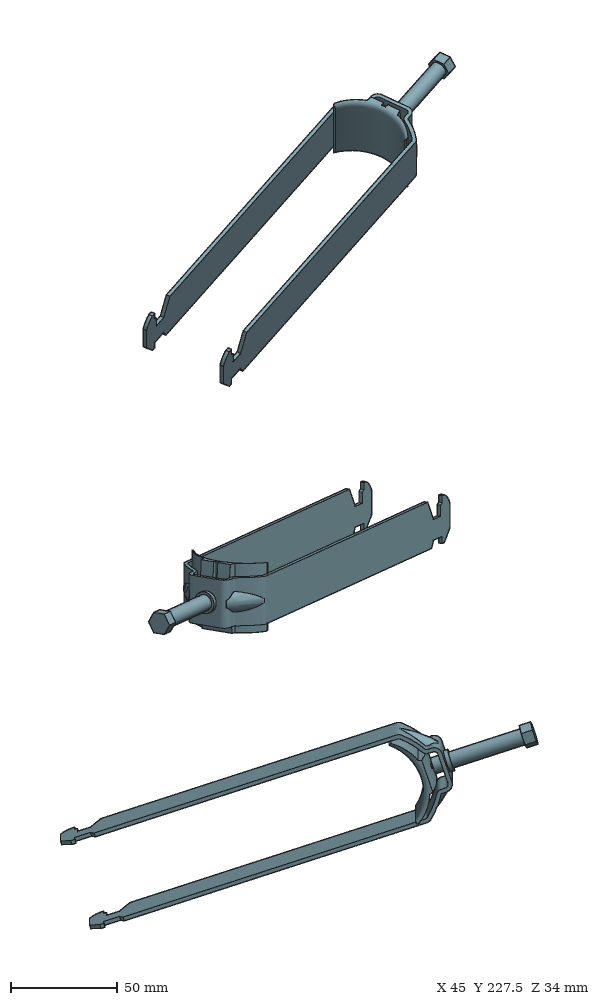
import cadquery as cq
import math


strap_width = 23.5
strap_thickness = 2.0
leg_outer_x = 22.5
hook_end_y = -184.2
crown_outer_x = 11.2
crown_bend_radius = 3.8
kink_y = -6.6
kink_radius = 1.0
shoulder_y = -16.3
shoulder_radius = 3.5
shoulder_bulge = 0.7

notch_depth_y = 7.1
hook_nose_y = 5.1
upper_notch_start_y = -164.0
lower_notch_start_y = -167.5
notch_floor_start_y = -169.3
upper_notch_floor_z = 2.0
lower_notch_floor_z = -8.2
hook_step_y = 1.4
hook_step_bottom_z = 7.4
hook_step_top_z = 8.3
hook_upper_corner_z = 6.3
hook_lower_corner_z = -5.8
hook_round_bulge = 0.7

dimple_top = (-10.4, -0.9)
dimple_bottom = (-22.2, -15.9)
dimple_rise = 0.8
dimple_axis_depth = 4.8

bolt_diameter = 8.0
bolt_top_y = 43.3
bolt_end_y = -6.9
head_height = 5.6
head_across_flats = 10.0
pin_diameter = 2.2
pin_end_y = -10.2

collar_diameter = 10.6
collar_height = 2.1

saddle_length = 34.0
saddle_offset_z = 0.3
saddle_half_width = leg_outer_x - strap_thickness
saddle_inner_radius = 25.0
saddle_outer_radius = 24.5
saddle_inner_crown_y = -12.9
saddle_outer_crown_y = -9.8
saddle_end_y = -22.0
lip_radius = 2.7
boss_top_half_width = 7.9
boss_foot_half_width = 8.7
boss_foot_depth = 2.0
boss_foot_y = saddle_outer_crown_y - boss_foot_depth
boss_peak = (-7.6, 3.0)
boss_upper_end_y = -8.4
boss_lower_end_y = -9.7


def bulged_middle(start, end, bulge):
    """Middle point of an arc that bows by `bulge` to the right of the way from start to end."""
    dx = end[0] - start[0]
    dy = end[1] - start[1]
    chord = math.hypot(dx, dy)
    middle_x = (start[0] + end[0]) / 2 + bulge * dy / chord
    middle_y = (start[1] + end[1]) / 2 - bulge * dx / chord
    return (middle_x, middle_y)


def cylinder_along_y(diameter, start_y, end_y):
    return (
        cq.Workplane("XZ", origin=(0, start_y, 0))
        .circle(diameter / 2)
        .extrude(start_y - end_y)
    )


def strap_envelope():
    """Solid block bounded by the strap's outer faces, closed two thicknesses past the hooks."""
    closed_end_y = hook_end_y - 2 * strap_thickness
    kink = (crown_outer_x, kink_y)
    shoulder = (leg_outer_x, shoulder_y)
    bow_right = bulged_middle(kink, shoulder, -shoulder_bulge)
    block = (
        cq.Workplane("XY", origin=(0, 0, -strap_width / 2))
        .moveTo(-crown_outer_x, 0)
        .lineTo(crown_outer_x, 0)
        .lineTo(*kink)
        .threePointArc(bow_right, shoulder)
        .lineTo(leg_outer_x, closed_end_y)
        .lineTo(-leg_outer_x, closed_end_y)
        .lineTo(-leg_outer_x, shoulder_y)
        .threePointArc((-bow_right[0], bow_right[1]), (-crown_outer_x, kink_y))
        .close()
        .extrude(strap_width)
    )
    bends = (
        (crown_outer_x, 0, crown_bend_radius),
        (crown_outer_x, kink_y, kink_radius),
        (leg_outer_x, shoulder_y, shoulder_radius),
    )
    for x, y, radius in bends:
        for side in (-1, 1):
            corner = cq.selectors.NearestToPointSelector((side * x, y, 0))
            block = block.edges("|Z").edges(corner).fillet(radius)
    return block


def strap_side_outline():
    """Hooked leg outline, extruded across both legs."""
    half = strap_width / 2
    notch_end_y = hook_end_y + notch_depth_y
    nose_y = hook_end_y + hook_nose_y
    hook_top = (nose_y, half)
    hook_corner = (hook_end_y, hook_upper_corner_z)
    return (
        cq.Workplane("YZ", origin=(-leg_outer_x, 0, 0))
        .moveTo(0, half)
        .lineTo(upper_notch_start_y, half)
        .lineTo(notch_floor_start_y, upper_notch_floor_z)
        .lineTo(notch_end_y + hook_step_y, upper_notch_floor_z)
        .lineTo(notch_end_y + hook_step_y, hook_step_bottom_z)
        .lineTo(notch_end_y, hook_step_top_z)
        .lineTo(notch_end_y, half)
        .lineTo(*hook_top)
        .threePointArc(bulged_middle(hook_top, hook_corner, hook_round_bulge), hook_corner)
        .lineTo(hook_end_y, hook_lower_corner_z)
        .lineTo(nose_y, -half)
        .lineTo(notch_end_y, -half)
        .lineTo(notch_end_y, lower_notch_floor_z)
        .lineTo(notch_floor_start_y, lower_notch_floor_z)
        .lineTo(lower_notch_start_y, -half)
        .lineTo(0, -half)
        .close()
        .extrude(2 * leg_outer_x)
    )


def dimple():
    """Barrel about a slanted axis under the -X kink; its ridge bows from crown to shoulder."""
    ridge = bulged_middle(dimple_top, dimple_bottom, dimple_rise)
    axis_top = bulged_middle(dimple_top, dimple_bottom, -dimple_axis_depth)
    shift_x = axis_top[0] - (dimple_top[0] + dimple_bottom[0]) / 2
    shift_y = axis_top[1] - (dimple_top[1] + dimple_bottom[1]) / 2
    axis_start = (dimple_top[0] + shift_x, dimple_top[1] + shift_y)
    axis_end = (dimple_bottom[0] + shift_x, dimple_bottom[1] + shift_y)
    return (
        cq.Workplane("XY")
        .moveTo(*axis_start)
        .lineTo(*dimple_top)
        .threePointArc(ridge, dimple_bottom)
        .lineTo(*axis_end)
        .close()
        .revolve(360, axis_start, axis_end)
    )


def make_strap():
    envelope = strap_envelope()
    inside = (
        cq.Workplane("XY", origin=(0, 0, -strap_width / 2))
        .add(envelope.faces("<Z").wires().vals())
        .toPending()
        .offset2D(-strap_thickness)
        .extrude(strap_width, combine=False)
    )
    strap = envelope.cut(inside).intersect(strap_side_outline())
    left_dimple = dimple().cut(envelope)
    strap = strap.union(left_dimple).union(left_dimple.mirror("YZ"))
    return strap.cut(cylinder_along_y(bolt_diameter, strap_thickness, -2 * strap_thickness))


def make_bolt():
    head_bottom_y = bolt_top_y - head_height
    head = (
        cq.Workplane("XZ", origin=(0, bolt_top_y, 0))
        .polygon(6, head_across_flats / math.cos(math.pi / 6))
        .extrude(head_height)
    )
    shank = cylinder_along_y(bolt_diameter, head_bottom_y, bolt_end_y)
    pin = cylinder_along_y(pin_diameter, bolt_end_y, pin_end_y)
    return head.union(shank).union(pin)


def make_collar():
    ring = cylinder_along_y(collar_diameter, collar_height, 0)
    return ring.cut(cylinder_along_y(bolt_diameter, collar_height, 0))


def saddle_arch():
    """Arched plate, thickest at its crown, before its inside is hollowed."""
    outer_centre_y = saddle_outer_crown_y - saddle_outer_radius
    outer_end_y = outer_centre_y + math.sqrt(saddle_outer_radius**2 - saddle_half_width**2)
    return (
        cq.Workplane("XY", origin=(0, 0, -saddle_length / 2))
        .moveTo(-saddle_half_width, saddle_end_y)
        .lineTo(-saddle_half_width, outer_end_y)
        .threePointArc((0, saddle_outer_crown_y), (saddle_half_width, outer_end_y))
        .lineTo(saddle_half_width, saddle_end_y)
        .close()
        .extrude(saddle_length)
    )


def saddle_boss():
    """Tapered block on the crown whose bearing face is curved along Z."""
    half = saddle_length / 2
    sides = (
        cq.Workplane("XY", origin=(0, 0, -half))
        .moveTo(-boss_foot_half_width, boss_foot_y)
        .lineTo(-boss_top_half_width, boss_peak[0])
        .lineTo(boss_top_half_width, boss_peak[0])
        .lineTo(boss_foot_half_width, boss_foot_y)
        .close()
        .extrude(saddle_length)
    )
    bearing = (
        cq.Workplane("YZ", origin=(-boss_foot_half_width, 0, 0))
        .moveTo(boss_foot_y, half)
        .lineTo(boss_upper_end_y, half)
        .threePointArc(boss_peak, (boss_lower_end_y, -half))
        .lineTo(boss_foot_y, -half)
        .close()
        .extrude(2 * boss_foot_half_width)
    )
    return sides.intersect(bearing)


def saddle_hollow():
    """Round hollow about Z that flares outward with a rounded lip at both ends."""
    half = saddle_length / 2
    flat_half = half - lip_radius
    lip_offset = lip_radius * (1 - math.cos(math.pi / 4))
    lip_middle_r = saddle_inner_radius + lip_offset
    lip_middle_z = flat_half + lip_radius * math.sin(math.pi / 4)
    flared_radius = saddle_inner_radius + lip_radius
    return (
        cq.Workplane("XZ")
        .moveTo(0, -half)
        .lineTo(flared_radius, -half)
        .threePointArc((lip_middle_r, -lip_middle_z), (saddle_inner_radius, -flat_half))
        .lineTo(saddle_inner_radius, flat_half)
        .threePointArc((lip_middle_r, lip_middle_z), (flared_radius, half))
        .lineTo(0, half)
        .close()
        .revolve(360, (0, 0), (0, 1))
        .translate((0, saddle_inner_crown_y - saddle_inner_radius, 0))
    )


def pin_slot():
    """Slot from the saddle's +Z end to the bolt pin, as wide and deep as the pin."""
    slot = (
        cq.Workplane("XY")
        .rect(pin_diameter, -2 * pin_end_y)
        .extrude(saddle_length)
    )
    return slot.union(cylinder_along_y(pin_diameter, bolt_end_y, pin_end_y))


def make_saddle():
    body = saddle_arch().union(saddle_boss())
    hollowed = body.cut(saddle_hollow()).translate((0, 0, saddle_offset_z))
    return hollowed.cut(pin_slot())


strap = make_strap()
bolt = make_bolt()
collar = make_collar()
saddle = make_saddle()

bodies = [strap, bolt, collar, saddle]
result = cq.Compound.makeCompound([body.solids().val() for body in bodies])